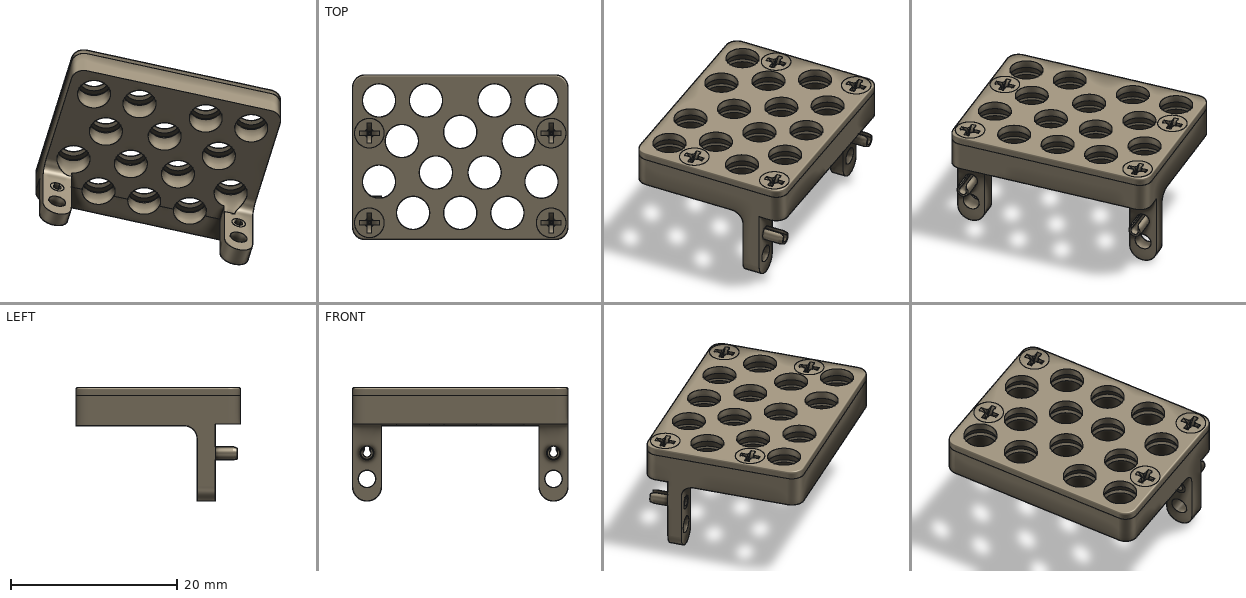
import cadquery as cq
length_x = 25.91
width_y = 19.81
height_z = 13.656
corner_radius = 1.524

lid_thickness = 0.94
lid_edge_round = 0.25

block_height = 4.62
front_step = 0.2

leg_width = 3.5
left_leg_thickness = 2.2
right_leg_thickness = 1.72
leg_setback = 3.048
leg_root_radius = 1.524
leg_hole_diameter = 2.06
leg_hole_height = 2.67

light_hole_diameter = 3.96
lens_pocket_diameter = 5.03
lens_floor_depth = 1.96

screw_head_diameter = 3.556
screw_shank_diameter = 1.85
screw_length = 3.175
screw_inset = 2.032
screw_rear_y = 2.9

recess_span = 2.4
recess_blade_width = 0.55
recess_blade_slope = 1.0
recess_mouth_diameter = 1.08
recess_floor_diameter = 0.7
recess_tip_depth = 0.5

pin_diameter = 1.66
pin_bore_diameter = 0.94
pin_slot_width = 0.62
pin_slot_flare_width = 0.9
pin_tip_length = 0.47
pin_tip_inset = 0.1
pin_projection = 2.64
pin_height = 5.77

front_y = -width_y / 2
lid_bottom_z = height_z - lid_thickness
plate_bottom_z = height_z - block_height
lens_floor_z = height_z - lens_floor_depth

leg_front_y = front_y + leg_setback
leg_x = (length_x - leg_width) / 2
leg_places = [
    (-leg_x, leg_front_y + left_leg_thickness),
    (leg_x, leg_front_y + right_leg_thickness),
]

centre_hole_rows = [3.05, -6.68]
paired_holes = [
    (9.76, 6.83),
    (4.116, 6.83),
    (7.014, 1.958),
    (2.925, -1.83),
    (9.76, -2.926),
    (5.667, -6.68),
]
light_holes = [(0, y) for y in centre_hole_rows]
light_holes += [(side * x, y) for x, y in paired_holes for side in (-1, 1)]

screw_x = length_x / 2 - screw_inset
screw_places = [
    (side * screw_x, y) for side in (-1, 1) for y in (front_y + screw_inset, screw_rear_y)
]


def rounded_plate(bottom_z, thickness):
    """Full-outline plate with rounded vertical corners."""
    plate = cq.Workplane("XY", origin=(0, 0, bottom_z)).rect(length_x, width_y).extrude(thickness)
    return plate.edges("|Z").fillet(corner_radius)


def screw_blank():
    """Countersunk screw without its recess, axis on Z and head top at the lid's top."""
    head_radius = screw_head_diameter / 2
    shank_radius = screw_shank_diameter / 2
    profile = [
        (0, height_z),
        (head_radius, height_z),
        (shank_radius, lid_bottom_z),
        (shank_radius, height_z - screw_length),
        (0, height_z - screw_length),
    ]
    return cq.Workplane("XZ").polyline(profile).close().revolve(360, (0, 0), (0, 1))


def cross_recess():
    """Two crossed V-shaped blades and a central tapered well, sunk from the top of the head."""
    half_span = recess_span / 2
    blade_profile = [
        (-half_span, height_z),
        (half_span, height_z),
        (0, height_z - recess_blade_slope * half_span),
    ]
    blade = cq.Workplane("XZ").polyline(blade_profile).close().extrude(recess_blade_width / 2, both=True)
    floor_radius = recess_floor_diameter / 2
    floor_z = height_z - recess_blade_slope * (half_span - floor_radius)
    cone_profile = [
        (0, height_z),
        (recess_mouth_diameter / 2, height_z),
        (floor_radius, floor_z),
        (0, floor_z - recess_tip_depth),
    ]
    cone = cq.Workplane("XZ").polyline(cone_profile).close().revolve(360, (0, 0), (0, 1))
    return blade.union(blade.rotate((0, 0, 0), (0, 0, 1), 90)).union(cone)


def leg_cylinder(x, back_y, z, diameter):
    """Cylinder along Y through the whole thickness of a leg."""
    return cq.Workplane("XZ", origin=(x, back_y, z)).circle(diameter / 2).extrude(back_y - leg_front_y)


def leg(x, back_y):
    """Hanging leg with a rounded end and a filleted root at the back."""
    radius = leg_width / 2
    body = (
        cq.Workplane("XZ", origin=(x, back_y, 0))
        .moveTo(-radius, plate_bottom_z + front_step)
        .lineTo(-radius, radius)
        .threePointArc((0, 0), (radius, radius))
        .lineTo(radius, plate_bottom_z + front_step)
        .close()
        .extrude(back_y - leg_front_y)
    )
    root = (
        cq.Workplane("YZ", origin=(x - radius, 0, 0))
        .moveTo(back_y, plate_bottom_z)
        .lineTo(back_y + leg_root_radius, plate_bottom_z)
        .radiusArc((back_y, plate_bottom_z - leg_root_radius), -leg_root_radius)
        .close()
        .extrude(leg_width)
    )
    return body.union(root)


def make_lid():
    """Cover plate with a rounded top edge, the light holes and the screw seats."""
    lid = rounded_plate(lid_bottom_z, lid_thickness).faces(">Z").edges().fillet(lid_edge_round)
    holes = (
        cq.Workplane("XY", origin=(0, 0, lid_bottom_z))
        .pushPoints(light_holes)
        .circle(light_hole_diameter / 2)
        .extrude(lid_thickness)
    )
    lid = lid.cut(holes)
    for x, y in screw_places:
        lid = lid.cut(screw_blank().translate((x, y, 0)))
    return lid


def make_housing():
    """Plate with two legs, lens pockets, light holes, screw holes and pin holes."""
    plate = rounded_plate(plate_bottom_z, lid_bottom_z - plate_bottom_z)
    step = (
        cq.Workplane("XY", origin=(0, front_y + leg_setback / 2, plate_bottom_z))
        .rect(length_x, leg_setback)
        .extrude(front_step)
    )
    housing = plate.cut(step)
    for x, back_y in leg_places:
        housing = housing.union(leg(x, back_y))
        housing = housing.cut(leg_cylinder(x, back_y, leg_hole_height, leg_hole_diameter))
        housing = housing.cut(leg_cylinder(x, back_y, pin_height, pin_diameter))
    holes = (
        cq.Workplane("XY", origin=(0, 0, plate_bottom_z - leg_root_radius))
        .pushPoints(light_holes)
        .circle(light_hole_diameter / 2)
        .extrude(block_height + leg_root_radius)
    )
    pockets = (
        cq.Workplane("XY", origin=(0, 0, lens_floor_z))
        .pushPoints(light_holes)
        .circle(lens_pocket_diameter / 2)
        .extrude(lid_bottom_z - lens_floor_z)
    )
    housing = housing.cut(holes).cut(pockets)
    for x, y in screw_places:
        housing = housing.cut(screw_blank().translate((x, y, 0)))
    return housing


def make_screw(x, y):
    """Countersunk screw with a cross recess."""
    return screw_blank().cut(cross_recess()).translate((x, y, 0))


def make_pin(x, back_y):
    """Slotted tubular pin, flush with the back of the leg, with a tapered tip and its slot on top."""
    outer_radius = pin_diameter / 2
    bore_radius = pin_bore_diameter / 2
    tip_y = leg_front_y - pin_projection
    taper_y = tip_y + pin_tip_length
    wall_profile = [
        (bore_radius, back_y),
        (outer_radius, back_y),
        (outer_radius, taper_y),
        (outer_radius - pin_tip_inset, tip_y),
        (bore_radius, tip_y),
    ]
    tube = cq.Workplane("XY").polyline(wall_profile).close().revolve(360, (0, 0), (0, 1))
    half_slot = pin_slot_width / 2
    half_flare = pin_slot_flare_width / 2
    slot_outline = [
        (-half_slot, back_y),
        (half_slot, back_y),
        (half_slot, taper_y),
        (half_flare, tip_y),
        (-half_flare, tip_y),
        (-half_slot, taper_y),
    ]
    slot = cq.Workplane("XY").polyline(slot_outline).close().extrude(outer_radius)
    return tube.cut(slot).translate((x, 0, pin_height))


lid = make_lid()
housing = make_housing()
screws = [make_screw(x, y) for x, y in screw_places]
pins = [make_pin(x, back_y) for x, back_y in leg_places]

result = cq.Compound.makeCompound(
    [lid.val(), housing.val()] + [screw.val() for screw in screws] + [pin.val() for pin in pins]
)